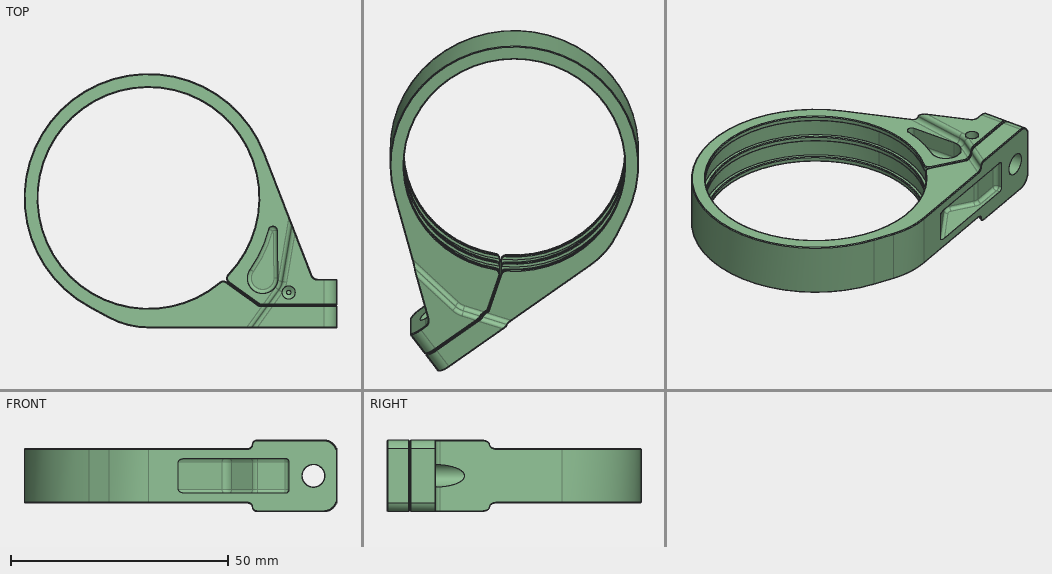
import cadquery as cq
import math

ring_radius = 28.6
bore_radius = 25.4
ring_height = 12.5
lug_height = 16.5
lug_end_x = 43.4
lug_top_y = -18.7
base_y = -29.9
edge_chamfer = 0.2

blend_radius = 19.15
flank_angle = math.radians(21.2)
flank_fillet = 1.6
lug_corner_radius = 3.0

step_height = (lug_height - ring_height) / 2
step_radius = step_height / 2
step_bend_radius = 4.6
lower_step_angle = math.radians(54.4)
upper_step_angle = math.radians(80.4)

pocket_angle = math.radians(-35.1)
pocket_large_radius = 3.5
pocket_tip_angle = math.radians(-14.7)
pocket_tip_radius = 1.0
pocket_depth = 5.0
pocket_fillet = 0.9

slot_width = 0.2
slot_y = -24.7
slot_corner_x = 25.55
slot_mouth_fillet = 1.3

lip_height = 1.3
groove_depth = 0.85

recess_left_x = 6.85
recess_right_x = 32.3
recess_height = 8.0
recess_floor_y = -28.15
recess_left_angle = math.radians(29.3)
recess_peak_x = 18.1
recess_bend_radius = 2.0
recess_fillet = 0.9

screw_hole_x = 37.9
screw_hole_diameter = 5.2
pin_hole_x = 32.25
pin_hole_y = -21.7
pin_hole_radius = 1.5
pin_hole_depth = 4.3
pin_tip_radius = 0.5
pin_tip_depth = 0.65

margin = 14.4


def polar(radius, angle, center=(0.0, 0.0)):
    return (center[0] + radius * math.cos(angle), center[1] + radius * math.sin(angle))


def make_outline(height):
    """Ring outline with its tangent flank and lug, extruded symmetrically about Z = 0."""
    blend_center = (0.0, base_y + blend_radius)
    tilt = math.acos((ring_radius - blend_radius) / -blend_center[1])
    tangent_angle = -math.pi / 2 - tilt
    blend_mid_angle = -math.pi / 2 - tilt / 2
    flank_foot_x = (ring_radius - lug_top_y * math.sin(flank_angle)) / math.cos(flank_angle)
    body = (
        cq.Workplane("XY")
        .moveTo(0, base_y)
        .lineTo(lug_end_x, base_y)
        .lineTo(lug_end_x, lug_top_y)
        .lineTo(flank_foot_x, lug_top_y)
        .lineTo(*polar(ring_radius, flank_angle))
        .threePointArc(polar(ring_radius, math.radians(135)), polar(ring_radius, tangent_angle))
        .lineTo(*polar(blend_radius, tangent_angle, blend_center))
        .threePointArc(polar(blend_radius, blend_mid_angle, blend_center), (0, base_y))
        .close()
        .extrude(height / 2, both=True)
    )
    flank_foot = cq.selectors.NearestToPointSelector((flank_foot_x, lug_top_y, 0))
    return body.edges("|Z").edges(flank_foot).fillet(flank_fillet)


def make_lug_region():
    """Everything on the lug side of the S-shaped step, for the upper face."""
    center = polar(ring_radius + pocket_large_radius, pocket_angle)
    lower_normal = lower_step_angle - math.pi / 2
    upper_normal = upper_step_angle - math.pi / 2
    bend_start = polar(step_bend_radius, lower_normal, center)
    bend_mid = polar(step_bend_radius, (lower_normal + upper_normal) / 2, center)
    bend_end = polar(step_bend_radius, upper_normal, center)
    start = polar(-2 * margin, lower_step_angle, bend_start)
    end = polar(2 * margin, upper_step_angle, bend_end)
    path = (
        cq.Workplane("XY", origin=(0, 0, ring_height / 2))
        .moveTo(*start)
        .lineTo(*bend_start)
        .threePointArc(bend_mid, bend_end)
        .lineTo(*end)
    )
    section = cq.Plane(
        origin=(start[0], start[1], ring_height / 2),
        xDir=(math.cos(lower_normal), math.sin(lower_normal), 0),
        normal=(-math.cos(lower_step_angle), -math.sin(lower_step_angle), 0),
    )
    diagonal = step_radius * math.sqrt(0.5)
    return (
        cq.Workplane(section)
        .moveTo(-step_radius, 0)
        .threePointArc((-step_radius + diagonal, step_radius - diagonal), (0, step_radius))
        .threePointArc((step_radius - diagonal, step_radius + diagonal), (step_radius, step_height))
        .lineTo(2 * margin, step_height)
        .lineTo(2 * margin, -step_height)
        .lineTo(-step_radius, -step_height)
        .close()
        .sweep(path)
    )


def make_body():
    lug_outline = make_outline(lug_height).edges("|Y and >X").fillet(lug_corner_radius)
    pad = lug_outline.intersect(make_lug_region())
    return make_outline(ring_height).union(pad).union(pad.mirror("XY"))


def chamfer_walls(body):
    """Chamfer every edge where an upright wall meets the faces of the ring and lug."""
    walls = [face for face in body.faces("not >X").vals() if abs(face.normalAt().z) < 1e-6]
    wall_edges = body.newObject(walls).edges("not |Z")
    return wall_edges.add(body.edges("|Z and >X")).chamfer(edge_chamfer)


def make_slot():
    """Bent slot: level through the lug, then sloping up into the bore."""
    slope = math.pi / 2 + lower_step_angle
    corner = (slot_corner_x, slot_y)
    path = (
        cq.Workplane("XY")
        .moveTo(lug_end_x + margin, slot_y)
        .lineTo(*corner)
        .lineTo(*polar(margin, slope, corner))
    )
    return path.offset2D(slot_width / 2).extrude(lug_height, both=True)


def make_groove(height, center_z):
    """Bore groove with chamfered edges on the lips above and below it."""
    groove_radius = bore_radius + groove_depth
    bevel_radius = bore_radius + edge_chamfer
    half_height = height / 2
    return (
        cq.Workplane("XZ", origin=(0, 0, center_z))
        .moveTo(0, -half_height - edge_chamfer)
        .lineTo(bore_radius, -half_height - edge_chamfer)
        .lineTo(bevel_radius, -half_height)
        .lineTo(groove_radius, -half_height)
        .lineTo(groove_radius, half_height)
        .lineTo(bevel_radius, half_height)
        .lineTo(bore_radius, half_height + edge_chamfer)
        .lineTo(0, half_height + edge_chamfer)
        .close()
        .revolve(360, (0, 0, 0), (0, 1, 0))
    )


def make_teardrop():
    large_center = polar(ring_radius + pocket_large_radius, pocket_angle)
    tip_center = polar(ring_radius + pocket_tip_radius, pocket_tip_angle)
    dx = tip_center[0] - large_center[0]
    dy = tip_center[1] - large_center[1]
    lean = math.acos((pocket_large_radius - pocket_tip_radius) / math.hypot(dx, dy))
    side_normal = math.atan2(dy, dx) - lean
    tip_mid = polar(pocket_tip_radius, math.pi / 2, tip_center)
    large_mid = polar(pocket_large_radius, -math.pi / 2, large_center)
    return (
        cq.Workplane("XY", origin=(0, 0, ring_height / 2 - pocket_depth))
        .moveTo(*polar(pocket_large_radius, side_normal, large_center))
        .lineTo(*polar(pocket_tip_radius, side_normal, tip_center))
        .threePointArc(tip_mid, polar(ring_radius, pocket_tip_angle))
        .threePointArc(
            polar(ring_radius, (pocket_tip_angle + pocket_angle) / 2),
            polar(ring_radius, pocket_angle),
        )
        .threePointArc(large_mid, polar(pocket_large_radius, side_normal, large_center))
        .close()
        .extrude(pocket_depth + step_height)
        .faces("<Z")
        .edges()
        .fillet(pocket_fillet)
    )


def make_recess():
    """Recess with a sloping floor that follows the bore, then drops to a shallow floor."""
    peak_y = base_y + (recess_peak_x - recess_left_x) * math.tan(recess_left_angle)
    drop_run = (peak_y - recess_floor_y) * math.tan(lower_step_angle)
    outside_y = base_y - 3.6
    outside_left_x = recess_left_x - (base_y - outside_y) / math.tan(recess_left_angle)
    floor_start_x = recess_peak_x + drop_run
    return (
        cq.Workplane("XY")
        .moveTo(outside_left_x, outside_y)
        .lineTo(recess_peak_x, peak_y)
        .lineTo(floor_start_x, recess_floor_y)
        .lineTo(recess_right_x, recess_floor_y)
        .lineTo(recess_right_x, outside_y)
        .close()
        .extrude(recess_height / 2, both=True)
        .edges(cq.selectors.BoxSelector((recess_peak_x - 0.7, base_y, -0.7), (floor_start_x + 0.7, 0, 0.7)))
        .fillet(recess_bend_radius)
        .edges("|Z")
        .edges(cq.selectors.NearestToPointSelector((recess_right_x, recess_floor_y, 0)))
        .fillet(recess_fillet)
        .faces("|Z")
        .edges("not <Y")
        .edges("not >X")
        .fillet(recess_fillet - 0.1)
    )


def make_pin_hole():
    return (
        cq.Workplane("XZ", origin=(pin_hole_x, pin_hole_y, lug_height / 2))
        .moveTo(0, 0)
        .lineTo(pin_hole_radius, 0)
        .lineTo(pin_hole_radius, -pin_hole_depth)
        .lineTo(pin_tip_radius, -pin_hole_depth - pin_tip_depth)
        .lineTo(0, -pin_hole_depth - pin_tip_depth)
        .close()
        .revolve(360, (0, 0, 0), (0, 1, 0))
    )


def make_screw_hole():
    return (
        cq.Workplane("XZ", origin=(screw_hole_x, 0, 0))
        .circle(screw_hole_diameter / 2)
        .extrude(-base_y + margin)
    )


bore = cq.Workplane("XY").circle(bore_radius).extrude(lug_height, both=True)
result = make_body().cut(bore).cut(make_slot())

mouth = cq.selectors.BoxSelector((14.4, -23, -0.7), (20.9, -15.8, 0.7))
result = result.edges("|Z").edges(mouth).fillet(slot_mouth_fillet)
result = chamfer_walls(result)

groove_height = (ring_height - 3 * lip_height) / 2
groove_offset = (groove_height + lip_height) / 2
for groove_z in (-groove_offset, groove_offset):
    result = result.cut(make_groove(groove_height, groove_z))

for cutter in (make_teardrop(), make_recess(), make_pin_hole(), make_screw_hole()):
    result = result.cut(cutter)